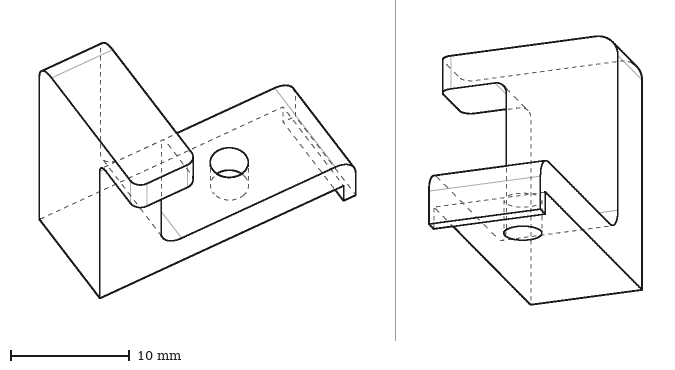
import cadquery as cq

length = 25.05
arm_reach = 16.0
height = 23.0

width = 10.0
thickness = 3.0
upright_depth = 6.0
lip_depth = 1.2
lip_drop = 2.0

large_radius = 2.0
small_radius = 1.0

hole_diameter = 3.2
hole_from_lip_end = 9.42

top = height - lip_drop


def make_base():
    """Plate with the lip hanging from its rear end and a fillet into the upright."""
    return (
        cq.Workplane("YZ")
        .lineTo(length - lip_depth, 0)
        .lineTo(length - lip_depth, -lip_drop)
        .lineTo(length, -lip_drop)
        .lineTo(length, thickness - large_radius)
        .radiusArc((length - large_radius, thickness), -large_radius)
        .lineTo(upright_depth + large_radius, thickness)
        .radiusArc((upright_depth, thickness + large_radius), large_radius)
        .lineTo(0, thickness + large_radius)
        .close()
        .extrude(width)
    )


def make_upright():
    """Upright with the arm reaching sideways from its top."""
    arm_bottom = top - thickness
    upright = (
        cq.Workplane("XZ")
        .lineTo(width, 0)
        .lineTo(width, arm_bottom - small_radius)
        .radiusArc((width + small_radius, arm_bottom), small_radius)
        .lineTo(arm_reach, arm_bottom)
        .lineTo(arm_reach, top)
        .lineTo(large_radius, top)
        .radiusArc((0, top - large_radius), -large_radius)
        .close()
        .extrude(-upright_depth)
    )
    return upright.faces(">X").edges("|Z").fillet(small_radius)


def make_hole():
    """Vertical cutter through the middle of the plate width."""
    return (
        cq.Workplane("XY")
        .center(width / 2, length - hole_from_lip_end)
        .circle(hole_diameter / 2)
        .extrude(thickness)
    )


result = make_base().union(make_upright()).cut(make_hole())